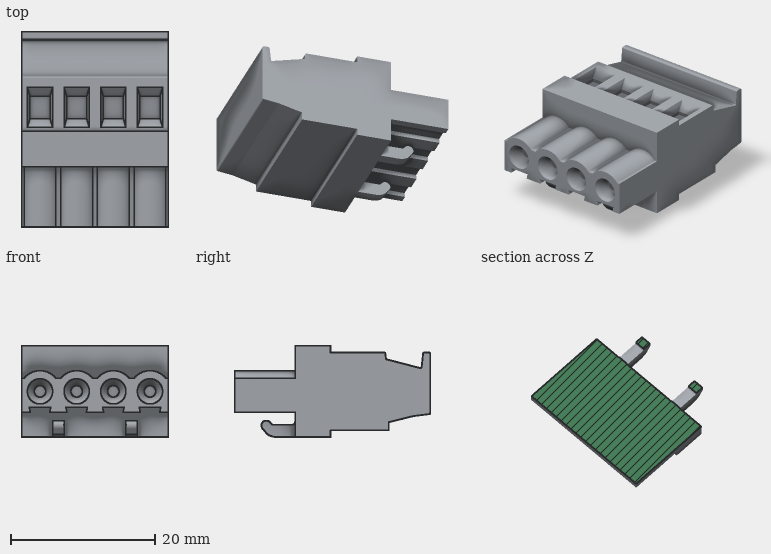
import cadquery as cq
import math

WIDTH = 20.32
LENGTH = 27.1
HEIGHT = 12.7

POLES = 4
PITCH = WIDTH / POLES
POLE_XS = [(i - (POLES - 1) / 2) * PITCH for i in range(POLES)]

BLOCK_FRONT_Y = 8.36
BLOCK_REAR_Y = 13.3
REAR_STEP = 0.95
REAR_TOP_Z = HEIGHT - REAR_STEP
REAR_BOTTOM_Z = REAR_STEP
EDGE_RADIUS = 0.2
ROOT_RADIUS = 0.15

TERRACE_TOP_Y = 20.86
TERRACE_ROOT_Y = 20.98
TERRACE_ROOT_Z = 10.82
LIP_TOP_THICKNESS = 1.0
LIP_ROOT_THICKNESS = 1.23
LIP_ROOT_Z = 9.55

LOWER_STEP_Y = 21.35
LOWER_STEP_Z = 2.07
LOWER_BEND_Y = 24.8
LOWER_BEND_Z = 2.92
LOWER_REAR_Z = 3.2

NOSE_BOTTOM_Z = 3.45
NOSE_SHOULDER_Z = 8.2
BARREL_RADIUS = 2.87
AXIS_Z = HEIGHT / 2

CONE_MOUTH_DIAMETER = 3.5
CONE_FLOOR_DIAMETER = 1.6
CONE_DEPTH = 1.8

CHANNEL_DEPTH = 0.72
CHANNEL_TOP_WIDTH = 3.0
CHANNEL_MOUTH_WIDTH = 2.7

POCKET_CENTRE_Y = 16.6
POCKET_MOUTH_X = 3.5
POCKET_MOUTH_Y = 5.55
POCKET_WELL_X = 2.8
POCKET_WELL_Y = 3.15
POCKET_TAPER_DEPTH = 1.2
POCKET_WELL_DEPTH = 0.5

LATCH_XS = [-PITCH, PITCH]
LATCH_WIDTH = 1.6
LATCH_THICKNESS = 1.75
LATCH_UPPER_ANGLE = math.radians(45)
LATCH_LOWER_ANGLE = math.radians(50)
LATCH_TIP_RADIUS = 0.68
LATCH_TIP_Y = 4.37
LATCH_TIP_Z = 1.63
LATCH_HEEL_RADIUS = 2.5
LATCH_HEEL_Z = 0.4
LATCH_ROOT_RADIUS = 0.4


def fillet_edges(body, corners, radius):
    """Round the full-width edges that pass through the given (Y, Z) corners."""
    for y, z in corners:
        corner = cq.selectors.NearestToPointSelector((0, y, z))
        body = body.edges("|X").edges(corner).fillet(radius)
    return body


def make_body():
    """Side outline in the YZ plane, extruded over the full width."""
    terrace_top = (TERRACE_TOP_Y, REAR_TOP_Z)
    terrace_root = (TERRACE_ROOT_Y, TERRACE_ROOT_Z)
    lip_root = (LENGTH - LIP_ROOT_THICKNESS, LIP_ROOT_Z)
    lip_top = (LENGTH - LIP_TOP_THICKNESS, REAR_TOP_Z)
    rear_top = (LENGTH, REAR_TOP_Z)
    rear_bottom = (LENGTH, LOWER_REAR_Z)
    outline = [
        (BLOCK_FRONT_Y, 0),
        (BLOCK_FRONT_Y, HEIGHT),
        (BLOCK_REAR_Y, HEIGHT),
        (BLOCK_REAR_Y, REAR_TOP_Z),
        terrace_top,
        terrace_root,
        lip_root,
        lip_top,
        rear_top,
        rear_bottom,
        (LOWER_BEND_Y, LOWER_BEND_Z),
        (LOWER_STEP_Y, LOWER_STEP_Z),
        (LOWER_STEP_Y, REAR_BOTTOM_Z),
        (BLOCK_REAR_Y, REAR_BOTTOM_Z),
        (BLOCK_REAR_Y, 0),
    ]
    body = cq.Workplane("YZ").polyline(outline).close().extrude(WIDTH / 2, both=True)
    body = fillet_edges(body, (terrace_top, lip_top, rear_top, rear_bottom), EDGE_RADIUS)
    body = fillet_edges(body, (terrace_root, lip_root), ROOT_RADIUS)
    return body


def make_nose():
    """Nose section in the XZ plane: flat underside, barrel crowns rising above the shoulder."""
    half_chord = math.sqrt(BARREL_RADIUS**2 - (NOSE_SHOULDER_Z - AXIS_Z) ** 2)
    section = (
        cq.Workplane("XZ")
        .moveTo(WIDTH / 2, NOSE_BOTTOM_Z)
        .lineTo(-WIDTH / 2, NOSE_BOTTOM_Z)
        .lineTo(-WIDTH / 2, NOSE_SHOULDER_Z)
    )
    for x in POLE_XS:
        section = section.lineTo(x - half_chord, NOSE_SHOULDER_Z)
        section = section.threePointArc((x, AXIS_Z + BARREL_RADIUS), (x + half_chord, NOSE_SHOULDER_Z))
    return section.lineTo(WIDTH / 2, NOSE_SHOULDER_Z).close().extrude(-BLOCK_FRONT_Y)


def make_cone(x):
    """Conical lead-in cut, narrowing from the nose tip."""
    return cq.Workplane(
        cq.Solid.makeCone(
            CONE_MOUTH_DIAMETER / 2,
            CONE_FLOOR_DIAMETER / 2,
            CONE_DEPTH,
            pnt=cq.Vector(x, 0, AXIS_Z),
            dir=cq.Vector(0, 1, 0),
        )
    )


def make_channel(x):
    """Dovetail channel cut along the underside of the nose."""
    top_z = NOSE_BOTTOM_Z + CHANNEL_DEPTH
    outline = [
        (x - CHANNEL_MOUTH_WIDTH / 2, NOSE_BOTTOM_Z),
        (x - CHANNEL_TOP_WIDTH / 2, top_z),
        (x + CHANNEL_TOP_WIDTH / 2, top_z),
        (x + CHANNEL_MOUTH_WIDTH / 2, NOSE_BOTTOM_Z),
    ]
    return cq.Workplane("XZ").polyline(outline).close().extrude(-BLOCK_FRONT_Y)


def make_pocket(x):
    """Pocket cut: a mouth tapering down to a straight-walled well with a flat floor."""
    taper = (
        cq.Workplane("XY", origin=(x, POCKET_CENTRE_Y, REAR_TOP_Z))
        .rect(POCKET_MOUTH_X, POCKET_MOUTH_Y)
        .workplane(offset=-POCKET_TAPER_DEPTH)
        .rect(POCKET_WELL_X, POCKET_WELL_Y)
        .loft(ruled=True)
    )
    well = (
        cq.Workplane("XY", origin=(x, POCKET_CENTRE_Y, REAR_TOP_Z - POCKET_TAPER_DEPTH))
        .rect(POCKET_WELL_X, POCKET_WELL_Y)
        .extrude(-POCKET_WELL_DEPTH)
    )
    return taper.union(well)


def make_latch(x):
    """Latch arm outline in the YZ plane, extruded across the arm width."""
    tip_upper = (
        LATCH_TIP_Y + LATCH_TIP_RADIUS * math.sin(LATCH_UPPER_ANGLE),
        LATCH_TIP_Z + LATCH_TIP_RADIUS * math.cos(LATCH_UPPER_ANGLE),
    )
    tip_lower = (
        LATCH_TIP_Y - LATCH_TIP_RADIUS * math.sin(LATCH_LOWER_ANGLE),
        LATCH_TIP_Z - LATCH_TIP_RADIUS * math.cos(LATCH_LOWER_ANGLE),
    )
    tip_top = (LATCH_TIP_Y, LATCH_TIP_Z + LATCH_TIP_RADIUS)
    throat_y = tip_upper[0] + (tip_upper[1] - LATCH_THICKNESS) / math.tan(LATCH_UPPER_ANGLE)
    heel_y = tip_lower[0] + (tip_lower[1] - LATCH_HEEL_Z) / math.tan(LATCH_LOWER_ANGLE)
    heel_angle = math.acos(1 - LATCH_HEEL_Z / LATCH_HEEL_RADIUS)
    heel_end_y = heel_y + LATCH_HEEL_RADIUS * math.sin(heel_angle)
    heel_middle = (
        heel_end_y - LATCH_HEEL_RADIUS * math.sin(heel_angle / 2),
        LATCH_HEEL_RADIUS * (1 - math.cos(heel_angle / 2)),
    )
    root_offset = LATCH_ROOT_RADIUS * (1 - math.sqrt(0.5))
    root_middle = (BLOCK_FRONT_Y - root_offset, LATCH_THICKNESS + root_offset)
    return (
        cq.Workplane("YZ", origin=(x, 0, 0))
        .moveTo(BLOCK_FRONT_Y, 0)
        .lineTo(BLOCK_FRONT_Y, LATCH_THICKNESS + LATCH_ROOT_RADIUS)
        .threePointArc(root_middle, (BLOCK_FRONT_Y - LATCH_ROOT_RADIUS, LATCH_THICKNESS))
        .lineTo(throat_y, LATCH_THICKNESS)
        .lineTo(*tip_upper)
        .threePointArc(tip_top, tip_lower)
        .lineTo(heel_y, LATCH_HEEL_Z)
        .threePointArc(heel_middle, (heel_end_y, 0))
        .close()
        .extrude(LATCH_WIDTH / 2, both=True)
    )


result = make_body().union(make_nose())
for latch_x in LATCH_XS:
    result = result.union(make_latch(latch_x))
for pole_x in POLE_XS:
    result = result.cut(make_cone(pole_x))
    result = result.cut(make_channel(pole_x))
    result = result.cut(make_pocket(pole_x))